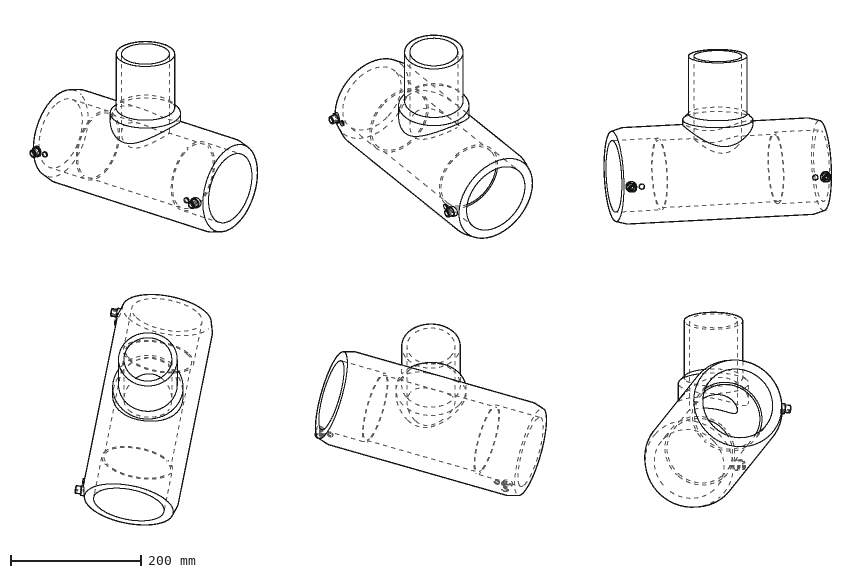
import cadquery as cq

BODY_LENGTH = 326.5
BODY_DIAMETER = 148.5
END_DIAMETER = 138.8
END_TAPER_LENGTH = 17.3
BORE_DIAMETER = 103.5
SOCKET_DIAMETER = 110.0
SOCKET_DEPTH = 71.8

OVERALL_HEIGHT = 255.3
BRANCH_TOP = OVERALL_HEIGHT - BODY_DIAMETER / 2
BRANCH_DIAMETER = 90.0
BRANCH_BORE = 73.5
COLLAR_DIAMETER = 108.0
COLLAR_TOP = 81.0
COLLAR_CHAMFER = (COLLAR_DIAMETER - BRANCH_DIAMETER) / 2

TERMINAL_END_OFFSET = 10.8
OVERALL_DEPTH = 159.3
TERMINAL_REACH = OVERALL_DEPTH - BODY_DIAMETER / 2
TERMINAL_DIAMETER = 12.0
TERMINAL_CHAMFER = 1.0
TERMINAL_HOLE_DIAMETER = 8.0
TERMINAL_HOLE_DEPTH = 8.0
CONTACT_DIAMETER = 5.0
CONTACT_RECESS = 3.3
FLANGE_DIAMETER = 16.0
FLANGE_REACH = 75.7
INDICATOR_END_OFFSET = 26.8
INDICATOR_DIAMETER = 8.0
INDICATOR_REACH = 76.5
ROOT_REACH = 65.3


def make_body():
    """Solid pipe with tapered ends."""
    half = BODY_LENGTH / 2
    shoulder = half - END_TAPER_LENGTH
    return (
        cq.Workplane("XY")
        .moveTo(-half, 0)
        .lineTo(-half, END_DIAMETER / 2)
        .lineTo(-shoulder, BODY_DIAMETER / 2)
        .lineTo(shoulder, BODY_DIAMETER / 2)
        .lineTo(half, END_DIAMETER / 2)
        .lineTo(half, 0)
        .close()
        .revolve(360, (0, 0, 0), (1, 0, 0))
    )


def make_branch():
    """Solid branch pipe with a chamfered collar at its foot."""
    pipe = cq.Workplane("XY").circle(BRANCH_DIAMETER / 2).extrude(BRANCH_TOP)
    collar = (
        cq.Workplane("XY")
        .circle(COLLAR_DIAMETER / 2)
        .extrude(COLLAR_TOP + COLLAR_CHAMFER)
        .faces(">Z")
        .chamfer(COLLAR_CHAMFER)
    )
    return pipe.union(collar)


def x_cylinder(diameter, start, length):
    """Cylinder on the X axis, from start towards +X."""
    return cq.Workplane("YZ", origin=(start, 0, 0)).circle(diameter / 2).extrude(length)


def radial_pin(x, diameter, start, end):
    """Cylinder pointing to -Y between two distances from the pipe axis."""
    return cq.Workplane("XZ", origin=(x, -start, 0)).circle(diameter / 2).extrude(end - start)


def make_terminal(x):
    """Flanged hollow terminal with a contact pin inside."""
    flange = radial_pin(x, FLANGE_DIAMETER, ROOT_REACH, FLANGE_REACH)
    shroud = radial_pin(x, TERMINAL_DIAMETER, ROOT_REACH, TERMINAL_REACH).faces("<Y").chamfer(TERMINAL_CHAMFER)
    hole_floor = TERMINAL_REACH - TERMINAL_HOLE_DEPTH
    hole = radial_pin(x, TERMINAL_HOLE_DIAMETER, hole_floor, TERMINAL_REACH)
    contact = radial_pin(x, CONTACT_DIAMETER, ROOT_REACH, TERMINAL_REACH - CONTACT_RECESS)
    return flange.union(shroud).cut(hole).union(contact)


result = make_body().union(make_branch())

result = result.cut(x_cylinder(BORE_DIAMETER, -BODY_LENGTH / 2, BODY_LENGTH))
result = result.cut(x_cylinder(SOCKET_DIAMETER, -BODY_LENGTH / 2, SOCKET_DEPTH))
result = result.cut(x_cylinder(SOCKET_DIAMETER, BODY_LENGTH / 2 - SOCKET_DEPTH, SOCKET_DEPTH))
result = result.cut(cq.Workplane("XY").circle(BRANCH_BORE / 2).extrude(BRANCH_TOP))

for side in (-1, 1):
    terminal_x = side * (BODY_LENGTH / 2 - TERMINAL_END_OFFSET)
    indicator_x = side * (BODY_LENGTH / 2 - INDICATOR_END_OFFSET)
    result = result.union(make_terminal(terminal_x))
    result = result.union(radial_pin(indicator_x, INDICATOR_DIAMETER, ROOT_REACH, INDICATOR_REACH))